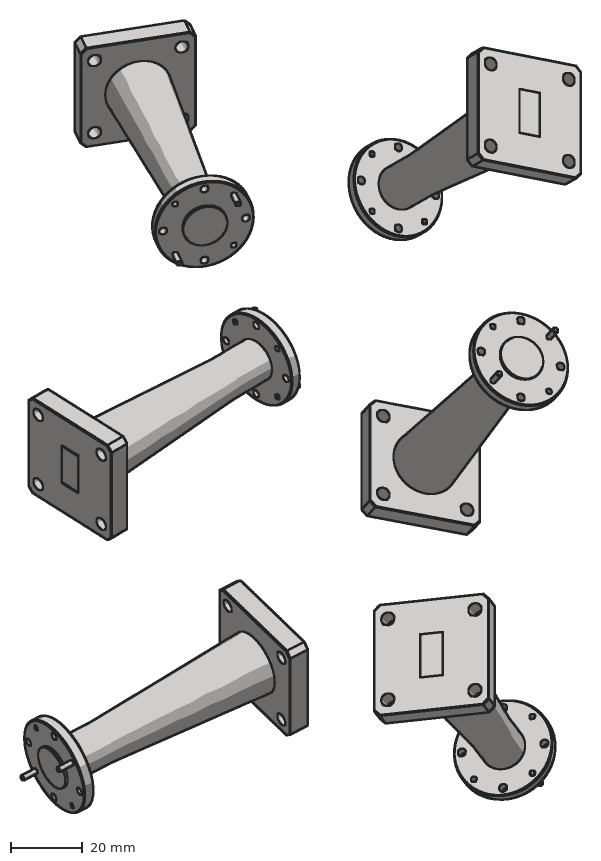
import cadquery as cq
import math

total_length = 80.3
square_thickness = 6.35
taper_end = 59.2
round_start = 72.1
round_thickness = 3.4
boss_height = 0.8

square_side = 33.3
corner_chamfer = 1.7
square_edge_chamfer = 0.25
bolt_spacing_y = 25.2
bolt_spacing_z = 24.2
bolt_hole_diameter = 3.8

recess_width = 6.5
recess_height = 12.9
recess_depth = 0.25

taper_large_diameter = 19.1
tube_diameter = 12.8

round_diameter = 28.6
round_edge_chamfer = 0.28
bolt_circle_radius = 11.95
screw_hole_diameter = 2.25
dowel_diameter = 1.6
dowel_chamfer = 0.2

round_end = round_start + round_thickness
boss_end = round_end + boss_height
dowel_offset = bolt_circle_radius * math.cos(math.radians(45))
dowel_points = [(dowel_offset, dowel_offset), (-dowel_offset, -dowel_offset)]
mating_dowel_points = [(dowel_offset, -dowel_offset), (-dowel_offset, dowel_offset)]


def plane_at(x):
    """Sketch plane across the X axis: local x is Y, local y is Z, normal is +X."""
    return cq.Workplane("YZ", origin=(x, 0, 0))


def make_square_flange():
    plate = plane_at(0).rect(square_side, square_side).extrude(square_thickness)
    plate = plate.edges("|X").chamfer(corner_chamfer)
    plate = plate.faces("<X or >X").chamfer(square_edge_chamfer)
    bolt_holes = (
        plane_at(0)
        .rect(bolt_spacing_y, bolt_spacing_z, forConstruction=True)
        .vertices()
        .circle(bolt_hole_diameter / 2)
        .extrude(square_thickness)
    )
    recess = plane_at(0).rect(recess_width, recess_height).extrude(recess_depth)
    return plate.cut(bolt_holes).cut(recess)


def make_turned_body():
    """Tapered tube, round flange and end boss as one revolved profile."""
    large_radius = taper_large_diameter / 2
    tube_radius = tube_diameter / 2
    rim_radius = round_diameter / 2
    return (
        cq.Workplane("XZ")
        .moveTo(square_thickness, 0)
        .lineTo(square_thickness, large_radius)
        .lineTo(taper_end, tube_radius)
        .lineTo(round_start, tube_radius)
        .lineTo(round_start, rim_radius - round_edge_chamfer)
        .lineTo(round_start + round_edge_chamfer, rim_radius)
        .lineTo(round_end - round_edge_chamfer, rim_radius)
        .lineTo(round_end, rim_radius - round_edge_chamfer)
        .lineTo(round_end, tube_radius)
        .lineTo(boss_end, tube_radius)
        .lineTo(boss_end, 0)
        .close()
        .revolve(360, (0, 0, 0), (1, 0, 0))
    )


def make_round_flange_holes():
    """Four screw holes on the Y and Z axes, and four dowel-sized holes between them."""
    screw_holes = (
        plane_at(round_start)
        .polarArray(bolt_circle_radius, 0, 360, 4)
        .circle(screw_hole_diameter / 2)
        .extrude(round_thickness)
    )
    dowel_holes = (
        plane_at(round_start)
        .pushPoints(dowel_points + mating_dowel_points)
        .circle(dowel_diameter / 2)
        .extrude(round_thickness)
    )
    return screw_holes.add(dowel_holes).combine()


def make_dowel(y, z):
    """Dowel pin, flush with the back of the round flange and chamfered at both ends."""
    dowel_length = total_length - round_start
    dowel = plane_at(round_start).center(y, z).circle(dowel_diameter / 2).extrude(dowel_length)
    return dowel.faces("<X or >X").chamfer(dowel_chamfer)


transition = make_square_flange().union(make_turned_body()).cut(make_round_flange_holes())
dowels = [make_dowel(y, z) for y, z in dowel_points]

result = cq.Compound.makeCompound([transition.val(), *[dowel.val() for dowel in dowels]])